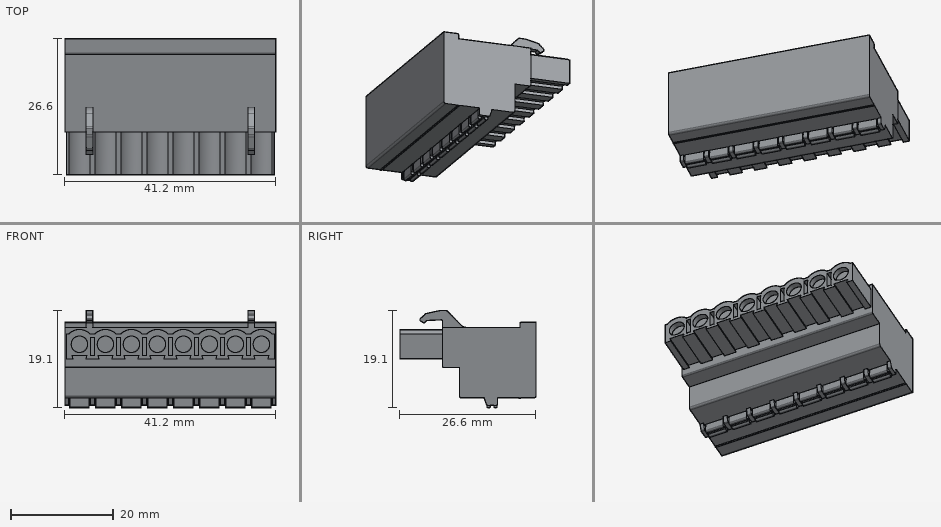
import cadquery as cq
import math


housing_length = 41.25
housing_depth = 18.28
deck_z = 13.8
ledge_z = 14.8
ledge_depth = 3.15
ledge_round = 0.3
shelf_z = 5.9
shelf_depth = 3.3
shelf_round = 0.25
bottom_round = 0.4

cell_count = 8
cell_pitch = 5.08
row_length = cell_count * cell_pitch
plug_depth = 8.35
plug_bottom_z = 7.65
plug_flat_z = 12.5
bore_z = 10.5
bore_diameter = 3.2
bore_depth = 1.25
arch_radius = 2.9
arch_half_width = math.sqrt(arch_radius**2 - (plug_flat_z - bore_z) ** 2)

keyway_top_z = 8.35
keyway_top_width = 2.95
keyway_bottom_width = 2.55
slot_width = 0.83
slot_top_z = 11.8
slot_height = slot_top_z - keyway_top_z

latch_spacing = 31.6
latch_width = 1.3

rib_height = 1.45
rib_back_y = 10.75
rib_front_y = 8.13
rib_tip_round = 0.2
rib_tip_front_y = 8.62
foot_gap = 0.2
tab_width = 3.8
tab_height = 1.95
tab_back_y = 10.7
tab_front_y = 8.65
tab_slot_back_y = 10.03
tab_slot_front_y = 9.35
tab_slot_height = tab_height - rib_height
tab_tip_round = 0.3

ridge_y = 15.15
ridge_radius = 0.15

cell_xs = [(i - (cell_count - 1) / 2) * cell_pitch for i in range(cell_count)]
divider_xs = [x + cell_pitch / 2 for x in cell_xs[:-1]]


def span(profile, width, center_x=0.0):
    """Extrude a closed Y-Z profile along X, centred on center_x."""
    return profile.extrude(width / 2, both=True).translate((center_x, 0, 0))


def block(x_mid, width, y_front, y_back, z_low, z_high):
    """Box centred on x_mid, between the given Y and Z limits."""
    box = cq.Workplane("XY").box(width, y_back - y_front, z_high - z_low, centered=(True, False, False))
    return box.translate((x_mid, y_front, z_low))


def make_housing():
    ledge_y = housing_depth - ledge_depth
    outline = cq.Workplane("YZ").polyline([
        (0, deck_z),
        (ledge_y, deck_z),
        (ledge_y, ledge_z),
        (housing_depth, ledge_z),
        (housing_depth, 0),
        (shelf_depth, 0),
        (shelf_depth, shelf_z),
        (0, shelf_z),
    ]).close()
    housing = span(outline, housing_length)
    housing = housing.faces("<Z").edges("|X").fillet(bottom_round)
    housing = housing.faces(">Z").edges("<Y").fillet(ledge_round)
    return housing.faces("<Y").edges("<Z").fillet(shelf_round)


def make_plug():
    plug = block(0, row_length, -plug_depth, 0, plug_bottom_z, plug_flat_z)
    front = cq.Workplane("XZ", origin=(0, -plug_depth, 0))
    for x in cell_xs:
        arch = (
            front.moveTo(x - arch_half_width, plug_flat_z)
            .threePointArc((x, bore_z + arch_radius), (x + arch_half_width, plug_flat_z))
            .close()
            .extrude(-plug_depth)
        )
        plug = plug.union(arch)

    bores = front.pushPoints([(x, bore_z) for x in cell_xs]).circle(bore_diameter / 2).extrude(-bore_depth)
    plug = plug.cut(bores)
    for x in cell_xs:
        keyway = front.polyline([
            (x - keyway_top_width / 2, keyway_top_z),
            (x + keyway_top_width / 2, keyway_top_z),
            (x + keyway_bottom_width / 2, plug_bottom_z),
            (x - keyway_bottom_width / 2, plug_bottom_z),
        ]).close().extrude(-plug_depth)
        plug = plug.cut(keyway)
    slots = (
        front.pushPoints([(x, keyway_top_z + slot_height / 2) for x in divider_xs])
        .rect(slot_width, slot_height)
        .extrude(-plug_depth)
    )
    return plug.cut(slots)


def make_latch(center_x):
    outline = (
        cq.Workplane("YZ")
        .moveTo(0, deck_z)
        .lineTo(0, 15.0)
        .threePointArc((-0.1, 15.2), (-0.25, 15.22))
        .lineTo(-3.05, 15.1)
        .lineTo(-3.42, 14.75)
        .threePointArc((-3.6, 14.65), (-3.75, 14.7))
        .lineTo(-4.4, 15.1)
        .lineTo(-4.4, 15.45)
        .lineTo(-3.55, 16.2)
        .threePointArc((-3.42, 16.4), (-3.2, 16.5))
        .lineTo(-0.95, 17.0)
        .threePointArc((-0.75, 17.05), (-0.5, 17.1))
        .lineTo(0.75, 17.1)
        .threePointArc((0.95, 17.0), (1.07, 16.88))
        .lineTo(3.6, 14.28)
        .threePointArc((4.13, 13.9), (4.8, deck_z))
        .close()
    )
    return span(outline, latch_width, center_x)


def make_rib(x_low, x_high):
    outline = cq.Workplane("YZ", origin=(x_low, 0, 0)).polyline([
        (rib_front_y, 0),
        (rib_tip_front_y, -rib_height),
        (rib_back_y, -rib_height),
        (rib_back_y, 0),
    ]).close()
    rib = outline.extrude(x_high - x_low)
    return rib.faces("<Z").edges("|X").fillet(rib_tip_round)


def make_tab(x):
    tab = block(x, tab_width, tab_front_y, tab_back_y, -tab_height, 0)
    slot = block(x, tab_width, tab_slot_front_y, tab_slot_back_y, -tab_height, -tab_height + tab_slot_height)
    return tab.cut(slot).faces("<Z").edges("|X").fillet(tab_tip_round)


def make_feet():
    half_reach = tab_width / 2 + foot_gap
    rib_starts = [-housing_length / 2] + [x + half_reach for x in cell_xs]
    rib_ends = [x - half_reach for x in cell_xs] + [housing_length / 2]
    ribs = [make_rib(start, end) for start, end in zip(rib_starts, rib_ends)]
    return ribs + [make_tab(x) for x in cell_xs]


def make_ridge():
    return span(cq.Workplane("YZ").center(ridge_y, 0).circle(ridge_radius), housing_length)


result = make_housing().union(make_plug())
for latch_x in (-latch_spacing / 2, latch_spacing / 2):
    result = result.union(make_latch(latch_x))
for foot in make_feet():
    result = result.union(foot)
result = result.union(make_ridge())